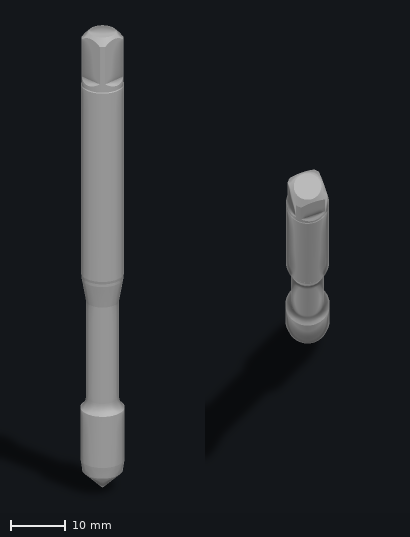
import cadquery as cq
import math

total_length = 93.7

square_width = 6.1
square_corner_diameter = 7.7
square_end_diameter = 5.1
square_bottom = 84.7

shank_diameter = 8.0
shank_top = 83.0
shank_bottom = 44.2
shank_top_chamfer = (shank_diameter - square_corner_diameter) / 2

collar_diameter = 7.7
collar_top = 43.65
collar_bottom = 43.1
cone_bottom = 38.5
neck_diameter = 6.1

head_diameter = 8.15
flare_top = 18.7
head_top = 16.6
lead_top = 6.1
point_diameter = 7.5
point_height = point_diameter / 2

flare_length = flare_top - head_top
flare_step = (head_diameter - neck_diameter) / 2
flare_radius = (flare_length**2 + flare_step**2) / (2 * flare_step)


def make_shank_blank():
    """Shank, collar, cone and neck turned about the Z axis."""
    end_chamfer = (square_corner_diameter - square_end_diameter) / 2
    return (
        cq.Workplane("XZ")
        .moveTo(0, flare_top)
        .lineTo(neck_diameter / 2, flare_top)
        .lineTo(neck_diameter / 2, cone_bottom)
        .lineTo(collar_diameter / 2, collar_bottom)
        .lineTo(collar_diameter / 2, collar_top)
        .lineTo(shank_diameter / 2, shank_bottom)
        .lineTo(shank_diameter / 2, shank_top - shank_top_chamfer)
        .lineTo(square_corner_diameter / 2, shank_top)
        .lineTo(square_corner_diameter / 2, total_length - end_chamfer)
        .lineTo(square_end_diameter / 2, total_length)
        .lineTo(0, total_length)
        .close()
        .revolve(360, (0, 0), (0, 1))
    )


def make_flat_cutter():
    """Prism that mills one flat and its 45 degree run-out on the +X side."""
    cut_depth = shank_diameter - square_width
    flat_position = square_width / 2
    return (
        cq.Workplane("XZ")
        .moveTo(flat_position, total_length)
        .lineTo(flat_position, square_bottom)
        .lineTo(flat_position + cut_depth, square_bottom - cut_depth)
        .lineTo(flat_position + cut_depth, total_length)
        .close()
        .extrude(shank_diameter / 2, both=True)
    )


def make_shank():
    """Turned shank and neck with four flats milled at the drive end."""
    shank = make_shank_blank()
    flat_count = 4
    for index in range(flat_count):
        angle = index * 360 / flat_count
        shank = shank.cut(make_flat_cutter().rotate((0, 0, 0), (0, 0, 1), angle))
    return shank


def make_cutting_head():
    """Flared head with a tapered lead and a conical point."""
    flare_mid_angle = math.asin(flare_length / flare_radius) / 2
    flare_mid = (
        neck_diameter / 2 + flare_radius * (1 - math.cos(flare_mid_angle)),
        flare_top - flare_radius * math.sin(flare_mid_angle),
    )
    return (
        cq.Workplane("XZ")
        .moveTo(0, 0)
        .lineTo(point_diameter / 2, point_height)
        .lineTo(head_diameter / 2, lead_top)
        .lineTo(head_diameter / 2, head_top)
        .threePointArc(flare_mid, (neck_diameter / 2, flare_top))
        .lineTo(0, flare_top)
        .close()
        .revolve(360, (0, 0), (0, 1))
    )


shank = make_shank()
cutting_head = make_cutting_head()

result = cq.Compound.makeCompound([shank.val(), cutting_head.val()])